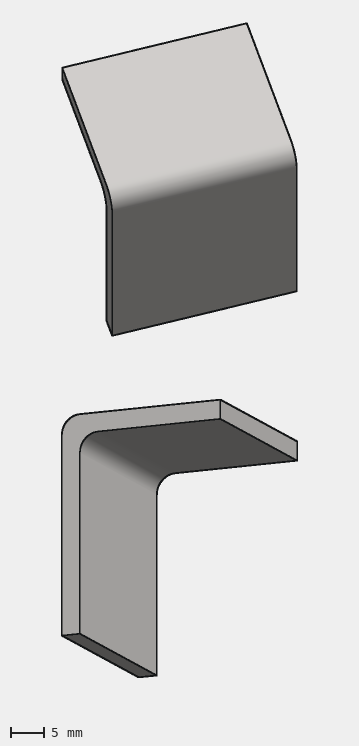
import cadquery as cq

flange_length = 26.0
width = 29.0
height = 34.0
thickness = 3.0
outer_bend_radius = 3.0
inner_bend_radius = 3.0

block = cq.Workplane("XY").box(flange_length, width, height)
outer_body = block.edges(">X and >Z").fillet(outer_bend_radius)

inner_space = (
    cq.Workplane("XY")
    .box(flange_length, width, height)
    .edges(">X and >Z")
    .fillet(inner_bend_radius)
    .translate((-thickness, 0, -thickness))
)

result = outer_body.cut(inner_space)